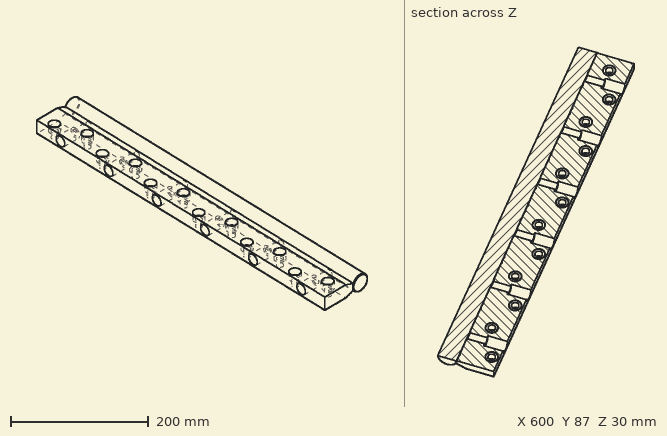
import cadquery as cq
import math

LENGTH = 600.0
WIDTH = 87.0
SHAFT_DIAMETER = 30.0
SHAFT_RADIUS = SHAFT_DIAMETER / 2
SHAFT_CHAMFER = 1.0
SHAFT_Y = WIDTH - SHAFT_RADIUS

BAR_LENGTH = 599.0
BAR_START_X = (LENGTH - BAR_LENGTH) / 2
BAR_HEIGHT = 24.0
FLAT_WIDTH = 42.5
NECK_HEIGHT = 12.0
NECK_Y = SHAFT_Y - math.sqrt(SHAFT_RADIUS**2 - (NECK_HEIGHT / 2) ** 2)

HOLE_DIAMETER = 11.0
COUNTERBORE_DIAMETER = 18.0
MOUNT_COUNTERBORE_DEPTH = 12.0
SHAFT_SCREW_COUNTERBORE_DEPTH = 30.0

SHAFT_SCREW_COUNT = 6
PITCH = LENGTH / SHAFT_SCREW_COUNT
OUTER_ROW_Y = 12.0
INNER_ROW_Y = 30.0


def make_shaft():
    """Round shaft lying along X, with chamfered ends."""
    blank = cq.Workplane("YZ").center(SHAFT_Y, 0).circle(SHAFT_RADIUS).extrude(LENGTH)
    return blank.faces("<X or >X").chamfer(SHAFT_CHAMFER)


def make_support_blank():
    """Bar that tapers to a neck with a concave seat for the shaft."""
    half_bar = BAR_HEIGHT / 2
    half_neck = NECK_HEIGHT / 2
    return (
        cq.Workplane("YZ")
        .moveTo(0, -half_bar)
        .lineTo(FLAT_WIDTH, -half_bar)
        .lineTo(NECK_Y, -half_neck)
        .threePointArc((SHAFT_Y - SHAFT_RADIUS, 0), (NECK_Y, half_neck))
        .lineTo(FLAT_WIDTH, half_bar)
        .lineTo(0, half_bar)
        .close()
        .extrude(BAR_LENGTH)
        .translate((BAR_START_X, 0, 0))
    )


def screw_hole_cutter(start, direction, length, counterbore_depth):
    """Stepped cylinder that starts at the counterbore mouth."""
    drill = cq.Solid.makeCylinder(HOLE_DIAMETER / 2, length, start, direction)
    counterbore = cq.Solid.makeCylinder(COUNTERBORE_DIAMETER / 2, counterbore_depth, start, direction)
    return drill.fuse(counterbore)


def make_support():
    """Support bar with two staggered rows of mounting holes and a row of shaft screw holes."""
    support = make_support_blank()
    down = cq.Vector(0, 0, -1)
    toward_shaft = cq.Vector(0, 1, 0)
    for index in range(SHAFT_SCREW_COUNT):
        screw_x = (index + 0.5) * PITCH
        for x, y in ((screw_x - PITCH / 4, OUTER_ROW_Y), (screw_x + PITCH / 4, INNER_ROW_Y)):
            mouth = cq.Vector(x, y, BAR_HEIGHT / 2)
            support = support.cut(screw_hole_cutter(mouth, down, BAR_HEIGHT, MOUNT_COUNTERBORE_DEPTH))
        mouth = cq.Vector(screw_x, 0, 0)
        support = support.cut(
            screw_hole_cutter(mouth, toward_shaft, SHAFT_Y, SHAFT_SCREW_COUNTERBORE_DEPTH)
        )
    return support


shaft = make_shaft()
support = make_support()
result = cq.Compound.makeCompound([shaft.val(), support.val()])